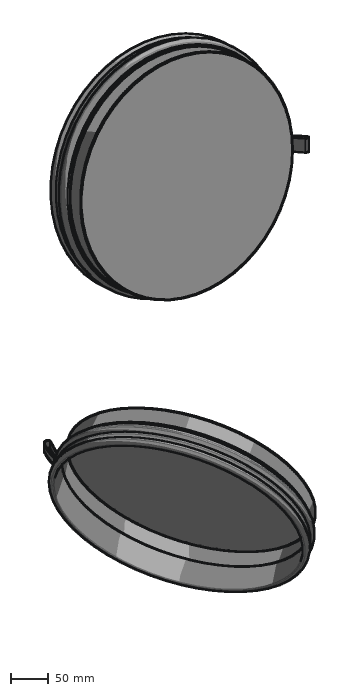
import cadquery as cq
import math


total_length = 62.83
cup_outer_radius = 348 / 2
sheet_thickness = 0.5
cup_inner_radius = cup_outer_radius - sheet_thickness
rim_overlap = 0.25
rim_radius = 345.2 / 2
floor_thickness = 1.7
floor_x = total_length - floor_thickness
rim_step_x = floor_x + rim_overlap
floor_inner_bend = cup_inner_radius - rim_radius

ring_length = 38.4
mouth_round = 1.4
mouth_radius = cup_inner_radius + mouth_round
front_face_radius = 355.02 / 2
bead_peak_radius = 182.08
front_bead_peak_x = 5.75
groove_start_x = 11.4
groove_start_radius = 357.34 / 2
groove_kink_x = 16.1
groove_end_x = 19.5
groove_end_radius = 358.29 / 2
rear_bead_peak_start_x = 25.3
rear_bead_peak_end_x = 27.6
rear_bead_rounding = 7.2
skirt_start_radius = 351.8 / 2
skirt_end_radius = 349.8 / 2

strap_width = 20
strap_thickness = 1.0
loop_foot_front = (33.0, 176.5)
loop_back_middle = (39.9, 189.3)
loop_tip_start = (50.6, 200.6)
loop_tip_middle = (59.2, 200.15)
loop_tip_end = (59.2, 196.3)
loop_foot_rear = (36.3, 175.0)


def revolve_about_x(profile):
    return profile.close().revolve(360, (0, 0, 0), (1, 0, 0))


def peak_arc_radius(half_width, height):
    """Radius of an arc that is level at its peak and falls by the height over the half width."""
    return (half_width**2 + height**2) / (2 * height)


def ring_outline(start):
    """Outer outline of the ring, from the front face to the rear edge, added to a started sketch."""
    front_rise = peak_arc_radius(front_bead_peak_x, bead_peak_radius - front_face_radius)
    front_fall = peak_arc_radius(
        groove_start_x - front_bead_peak_x, bead_peak_radius - groove_start_radius
    )
    rear_rise = peak_arc_radius(
        rear_bead_peak_start_x - groove_end_x, bead_peak_radius - groove_end_radius
    )
    shoulder_height = bead_peak_radius - skirt_start_radius
    shoulder_width = math.sqrt(rear_bead_rounding**2 - (rear_bead_rounding - shoulder_height) ** 2)
    return (
        start.lineTo(0, front_face_radius)
        .radiusArc((front_bead_peak_x, bead_peak_radius), front_rise)
        .radiusArc((groove_start_x, groove_start_radius), front_fall)
        .lineTo(groove_kink_x, groove_end_radius)
        .lineTo(groove_end_x, groove_end_radius)
        .radiusArc((rear_bead_peak_start_x, bead_peak_radius), rear_rise)
        .lineTo(rear_bead_peak_end_x, bead_peak_radius)
        .radiusArc((rear_bead_peak_end_x + shoulder_width, skirt_start_radius), rear_bead_rounding)
        .lineTo(ring_length, skirt_end_radius)
    )


def make_ring():
    profile = ring_outline(cq.Workplane("XY").moveTo(0, mouth_radius))
    profile = (
        profile.lineTo(ring_length, cup_inner_radius)
        .lineTo(mouth_round, cup_inner_radius)
        .radiusArc((0, mouth_radius), mouth_round)
    )
    return revolve_about_x(profile)


def make_cup():
    profile = (
        cq.Workplane("XY")
        .moveTo(ring_length, cup_inner_radius)
        .lineTo(ring_length, cup_outer_radius)
        .lineTo(rim_step_x, cup_outer_radius)
        .lineTo(rim_step_x, rim_radius)
        .lineTo(total_length, rim_radius)
        .lineTo(total_length, 0)
        .lineTo(floor_x, 0)
        .lineTo(floor_x, rim_radius)
        .radiusArc((floor_x - floor_inner_bend, cup_inner_radius), -floor_inner_bend)
    )
    return revolve_about_x(profile)


def loop_block(offset):
    """Filled teardrop whose edge lies the given distance outside the middle line of the strap."""
    return (
        cq.Workplane("XY")
        .workplane(offset=-strap_width / 2)
        .moveTo(*loop_foot_front)
        .threePointArc(loop_back_middle, loop_tip_start)
        .threePointArc(loop_tip_middle, loop_tip_end)
        .lineTo(*loop_foot_rear)
        .close()
        .offset2D(offset)
        .extrude(strap_width)
    )


def make_loop():
    ring_outer_profile = ring_outline(cq.Workplane("XY")).lineTo(ring_length, 0)
    ring_envelope = revolve_about_x(ring_outer_profile)
    strap = loop_block(strap_thickness / 2).cut(loop_block(-strap_thickness / 2))
    return strap.cut(ring_envelope)


ring = make_ring()
cup = make_cup()
loop = make_loop()

result = cq.Compound.makeCompound([ring.val(), cup.val(), loop.val()])